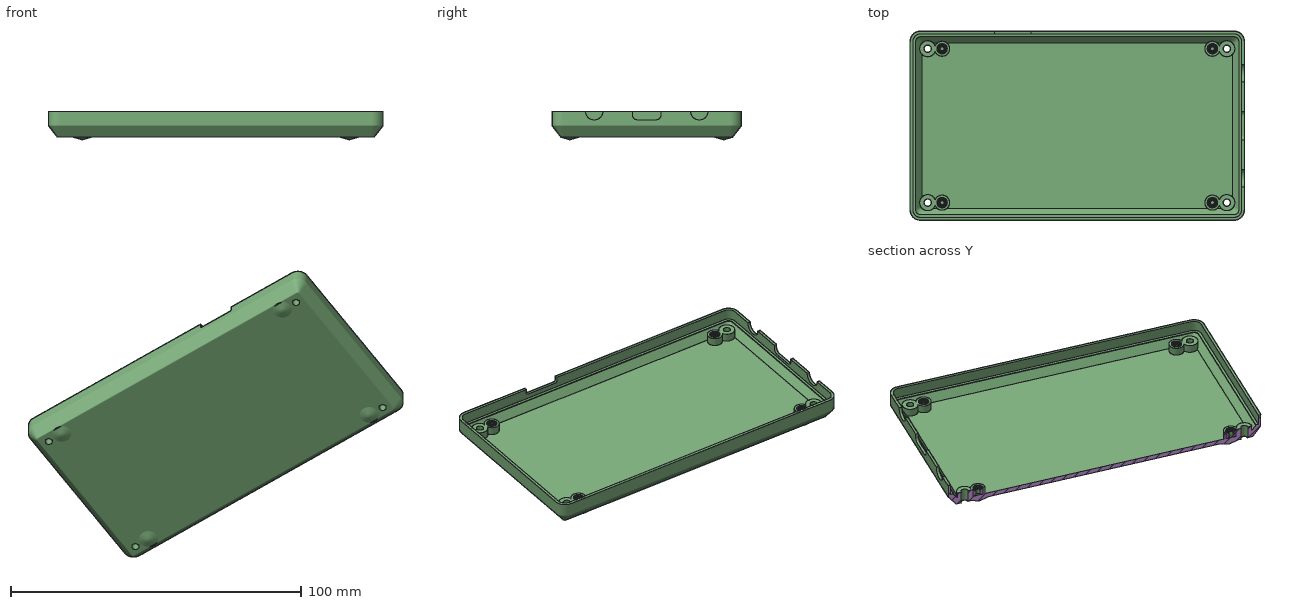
import cadquery as cq

length = 115.2
width = 65.2
top_z = 9.8
underside_z = 0.98
corner_radius = 3.7
chamfer_top_z = 4.8
chamfer_inset = 3.0
edge_radius = 0.5
smallest_corner_radius = 0.6

rim_thickness = 1.0
ledge_inset = 2.0
ledge_z = 5.9
slope_top_z = 5.6
floor_inset = 4.1
floor_z = 2.9

boss_x = 51.5
boss_y = 26.5
boss_diameter = 5.5
boss_top_z = 5.8
through_hole_diameter = 2.4
post_x = 46.5
post_diameter = 5.2
insert_hole_diameter = 3.6

insert_diameter = 3.5
insert_mouth_diameter = 2.8
insert_waist_diameter = 2.1
insert_bore_diameter = 1.4
insert_step_depth = 0.5

foot_x = 46.0
foot_diameter = 6.5

back_notch_left = -28.6
back_notch_right = -15.9
back_notch_depth = 2.2
back_notch_radius = 0.7
end_notch_depth = 2.9
round_notch_y = 18.1
round_notch_width = 6.0
round_notch_radius = 2.9
port_notch_width = 9.9
port_notch_radius = 1.7


def mirrored_points(x, y):
    """The four points at +-x, +-y."""
    return [(side_x * x, side_y * y) for side_x in (-1, 1) for side_y in (-1, 1)]


def outline(inset, z):
    """Rounded rectangle at height z, set in from the outer side walls."""
    radius = max(corner_radius - inset, smallest_corner_radius)
    sketch = cq.Sketch().rect(length - 2 * inset, width - 2 * inset).vertices().fillet(radius)
    return sketch.moved(cq.Location(cq.Vector(0, 0, z)))


def straight_block(inset, z_low, z_high):
    """Rounded block with upright sides."""
    return cq.Workplane("XY").placeSketch(outline(inset, z_low)).extrude(z_high - z_low)


def tapered_block(inset_low, z_low, inset_high, z_high):
    """Rounded block whose sides lean from one inset to another."""
    outlines = cq.Workplane("XY").placeSketch(outline(inset_low, z_low), outline(inset_high, z_high))
    return outlines.loft(ruled=True)


def cylinders(points, diameter, z_low, z_high):
    """Upright cylinders at the given points."""
    plane = cq.Workplane("XY").workplane(offset=z_low).pushPoints(points)
    return plane.circle(diameter / 2).extrude(z_high - z_low)


def make_shell():
    """Outer block with a chamfered, softened underside, hollowed from the top."""
    shell = tapered_block(chamfer_inset, underside_z, 0, chamfer_top_z)
    edges_below_rim = cq.selectors.BoxSelector(
        (-length, -width, 0), (length, width, ledge_z), boundingbox=True
    )
    shell = shell.union(straight_block(0, chamfer_top_z, top_z))
    shell = shell.edges("#Z").edges(edges_below_rim).fillet(edge_radius)
    shell = shell.cut(straight_block(rim_thickness, ledge_z, top_z))
    shell = shell.cut(straight_block(ledge_inset, slope_top_z, ledge_z))
    return shell.cut(tapered_block(floor_inset, floor_z, ledge_inset, slope_top_z))


def add_bosses_and_posts(housing):
    """Bosses drilled right through, and posts with blind insert holes down to the floor."""
    bosses = mirrored_points(boss_x, boss_y)
    posts = mirrored_points(post_x, boss_y)
    base_z = (underside_z + floor_z) / 2
    housing = housing.union(cylinders(bosses, boss_diameter, base_z, boss_top_z))
    housing = housing.union(cylinders(posts, post_diameter, base_z, boss_top_z))
    housing = housing.cut(cylinders(bosses, through_hole_diameter, 0, top_z))
    return housing.cut(cylinders(posts, insert_hole_diameter, floor_z, top_z))


def add_feet(housing):
    """Shallow cones pointing down from the underside."""
    for x, y in mirrored_points(foot_x, boss_y):
        foot = cq.Solid.makeCone(0, foot_diameter / 2, underside_z, pnt=cq.Vector(x, y, 0))
        housing = housing.union(cq.Workplane(foot))
    return housing


def end_notch(y, notch_width, radius):
    """Cutter for a notch with rounded bottom corners in the rim at the +X end."""
    return (
        cq.Workplane("YZ", origin=(length / 2 - rim_thickness, y, top_z))
        .rect(notch_width, 2 * end_notch_depth)
        .extrude(rim_thickness)
        .edges("|X and <Z")
        .fillet(radius)
    )


def back_notch():
    """Cutter for the wide, shallow notch in the rim on the +Y side."""
    middle_x = (back_notch_left + back_notch_right) / 2
    return (
        cq.Workplane("XZ", origin=(middle_x, width / 2, top_z))
        .rect(back_notch_right - back_notch_left, 2 * back_notch_depth)
        .extrude(rim_thickness)
        .edges("|Y and <Z")
        .fillet(back_notch_radius)
    )


def make_housing():
    housing = add_feet(add_bosses_and_posts(make_shell()))
    housing = housing.cut(back_notch())
    for y in (-round_notch_y, round_notch_y):
        housing = housing.cut(end_notch(y, round_notch_width, round_notch_radius))
    return housing.cut(end_notch(0, port_notch_width, port_notch_radius))


def make_insert(x, y):
    """Sleeve whose bore narrows in two steps below its mouth."""
    center = [(x, y)]
    mouth_z = boss_top_z - insert_step_depth
    waist_z = mouth_z - insert_step_depth
    insert = cylinders(center, insert_diameter, floor_z, boss_top_z)
    insert = insert.cut(cylinders(center, insert_mouth_diameter, mouth_z, boss_top_z))
    insert = insert.cut(cylinders(center, insert_waist_diameter, waist_z, mouth_z))
    return insert.cut(cylinders(center, insert_bore_diameter, floor_z, waist_z))


housing = make_housing()
inserts = [make_insert(x, y) for x, y in mirrored_points(post_x, boss_y)]

result = cq.Compound.makeCompound([housing.val(), *[insert.val() for insert in inserts]])